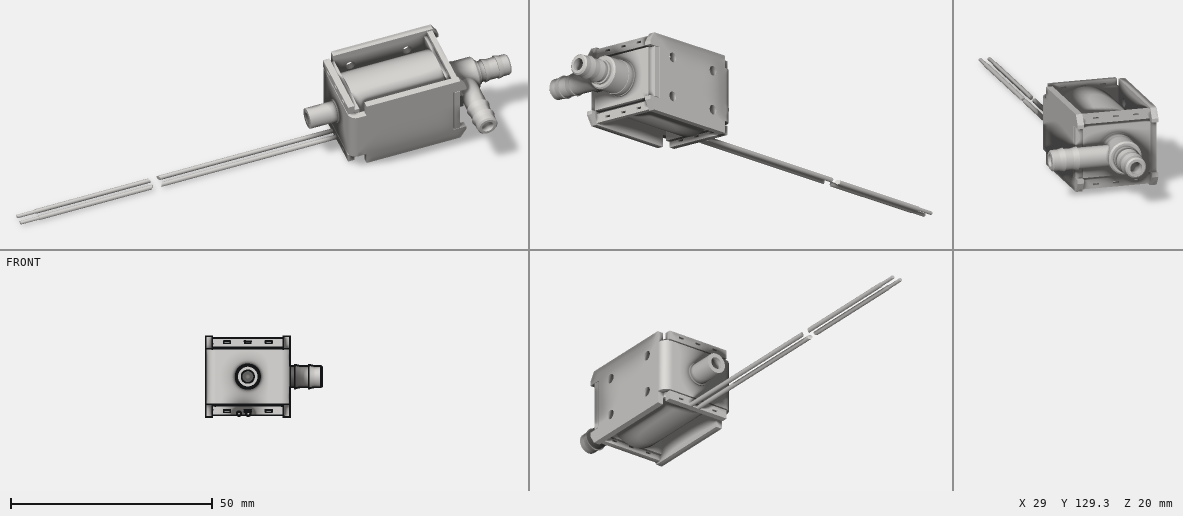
import cadquery as cq


frame_width = 21.0
frame_height = 20.0
sheet = 1.7
left_bend_radius = 2.5
right_bend_radius = 2.1
front_band_height = 13.7
wall_rear = 30.7
left_wall_front = 2.7
right_wall_front = 4.3
wall_corner_y = 1.5
wall_corner_z = 2.5
notch_height = 13.2
notch_front = 27.3
mount_hole_diameter = 2.5
mount_hole_z = 5.0
mount_hole_ys = (7.2, 22.2)
inner_width = frame_width - 2 * sheet

flange_height = 16.3
front_flange_back = 3.0
rear_flange_front = 26.8
rear_flange_back = 27.5
rail_rear = 29.0
rail_top = 9.6
rail_gap = 0.4
rail_bottom = front_band_height / 2 + rail_gap
core_diameter = 7.8
slot_width = 1.5
slot_height = 0.5
slot_pitch = 5.2
slot_z = 8.5

rear_plate_height = 12.9

tube_diameter = 5.3
tube_bore = 3.1
tube_length = 7.5
collar_diameter = 6.1
collar_thickness = 0.4

base_thickness = 0.6
fitting_base = rail_rear + base_thickness
foot_diameter = 9.3
foot_thickness = 0.4
hub_diameter = 8.5
hub_collar_diameter = 8.8
hub_collar_rear = 31.7
hub_rear = 37.0
hub_chamfer = 0.4
neck_diameter = 6.2
neck_length = 0.6
straight_tip = 45.8
side_tip = 18.5
side_nipple_y = 33.4
lug_reach = 7.9
lug_thickness = 1.3
lug_height = 3.9
nipple_radius = 2.65
nipple_bore = 3.1
tip_chamfer = 0.4
barb_height = 0.32
barb_ramp = 1.4
barb_pitch = 3.5
first_barb = 3.4

wire_diameter = 1.2
conductor_diameter = 0.9
wire_xs = (-2.2, 0.1)
wire_z = -9.2
upper_wire_end = -46.0
lower_wire_start = -48.6
insulation_end = -78.6
overall_length = 129.3
conductor_end = straight_tip - overall_length
break_slant = 0.32


def box(x0, x1, y0, y1, z0, z1):
    """Block between two opposite corners."""
    return cq.Workplane("XY").box(x1 - x0, y1 - y0, z1 - z0, centered=False).translate((x0, y0, z0))


def centred_block(width, height, y0, y1):
    """Block centred on the coil axis between two Y positions."""
    return box(-width / 2, width / 2, y0, y1, -height / 2, height / 2)


def rod(diameter, y0, y1, x=0, z=0):
    """Cylinder along Y."""
    return cq.Workplane("XZ", origin=(x, y0, z)).circle(diameter / 2).extrude(y0 - y1)


def round_front_corners(block, left_radius, right_radius):
    """Round the two upright front edges of a block."""
    block = block.edges("|Z and <Y").edges("<X").fillet(left_radius)
    return block.edges("|Z and >X").edges("<Y").fillet(right_radius)


def side_wall_outline(front):
    """Wall outline in Y and Z, with cut rear corners and a rear notch."""
    top = frame_height / 2
    notch = notch_height / 2
    return [
        (front, -top), (wall_rear - wall_corner_y, -top), (wall_rear, -top + wall_corner_z),
        (wall_rear, -notch), (notch_front, -notch), (notch_front, notch), (wall_rear, notch),
        (wall_rear, top - wall_corner_z), (wall_rear - wall_corner_y, top), (front, top),
    ]


def make_side_wall(x0, front):
    return cq.Workplane("YZ", origin=(x0, 0, 0)).polyline(side_wall_outline(front)).close().extrude(sheet)


def make_frame():
    band = centred_block(frame_width, front_band_height, 0, right_wall_front)
    hollow = centred_block(inner_width, frame_height, sheet, right_wall_front)
    band = round_front_corners(band, left_bend_radius, right_bend_radius)
    band = band.cut(round_front_corners(hollow, left_bend_radius - sheet, right_bend_radius - sheet))
    frame = band.union(make_side_wall(-frame_width / 2, left_wall_front))
    frame = frame.union(make_side_wall(inner_width / 2, right_wall_front))
    for y in mount_hole_ys:
        for z in (-mount_hole_z, mount_hole_z):
            hole = cq.Workplane("YZ", origin=(-frame_width / 2, y, z)).circle(mount_hole_diameter / 2)
            frame = frame.cut(hole.extrude(sheet))
    return frame.cut(rod(tube_diameter, 0, sheet))


def make_rail(y0, y1, side):
    """Slotted rail above (side = 1) or below (side = -1) the frame plates."""
    middle = side * (rail_top + rail_bottom) / 2
    rail = centred_block(inner_width, rail_top - rail_bottom, y0, y1).translate((0, 0, middle))
    for step in (-1, 0, 1):
        slot = centred_block(slot_width, slot_height, y0, y1)
        rail = rail.cut(slot.translate((step * slot_pitch, 0, side * slot_z)))
    return rail


def make_bobbin():
    front_flange = centred_block(inner_width, flange_height, sheet, front_flange_back)
    front_flange = round_front_corners(front_flange, left_bend_radius - sheet, right_bend_radius - sheet)
    bobbin = front_flange.union(rod(core_diameter, front_flange_back, rear_flange_front))
    bobbin = bobbin.union(centred_block(inner_width, flange_height, rear_flange_front, rear_flange_back))
    for side in (-1, 1):
        bobbin = bobbin.union(make_rail(0, sheet, side))
        bobbin = bobbin.union(make_rail(rear_flange_back, rail_rear, side))
    return bobbin


def make_coil():
    coil = rod(inner_width, front_flange_back, rear_flange_front)
    return coil.cut(rod(core_diameter, front_flange_back, rear_flange_front))


def make_rear_plate():
    return centred_block(frame_width, rear_plate_height, rear_flange_back, rail_rear)


def make_guide_tube():
    tube = rod(tube_diameter, -tube_length, sheet)
    tube = tube.union(rod(collar_diameter, -collar_thickness, 0))
    return tube.cut(rod(tube_bore, -tube_length, 0))


def make_nipple(length):
    """Barbed nipple along Y with its tip at the origin, reaching back to Y = -length."""
    profile = [(0, 0), (nipple_radius - tip_chamfer, 0), (nipple_radius, -tip_chamfer)]
    for crest in (first_barb, first_barb + barb_pitch):
        profile += [
            (nipple_radius, barb_ramp - crest),
            (nipple_radius + barb_height, -crest),
            (nipple_radius, -crest),
        ]
    profile += [(nipple_radius, -length), (0, -length)]
    return cq.Workplane("XY").polyline(profile).close().revolve(360, (0, 0), (0, 1))


def make_fitting():
    fitting = centred_block(inner_width, rear_plate_height, rail_rear, fitting_base)
    fitting = fitting.union(rod(foot_diameter, fitting_base, fitting_base + foot_thickness))
    fitting = fitting.union(rod(hub_collar_diameter, fitting_base, hub_collar_rear))
    fitting = fitting.union(rod(hub_diameter, fitting_base, hub_rear).faces(">Y").chamfer(hub_chamfer))
    fitting = fitting.union(rod(neck_diameter, hub_rear, hub_rear + neck_length))
    lug = box(0, lug_reach, fitting_base, fitting_base + lug_thickness, -lug_height / 2, lug_height / 2)
    fitting = fitting.union(lug)

    straight = make_nipple(straight_tip - hub_rear).translate((0, straight_tip, 0))
    side = make_nipple(side_tip).rotate((0, 0, 0), (0, 0, 1), -90).translate((side_tip, side_nipple_y, 0))
    fitting = fitting.union(straight).union(side)

    straight_bore = rod(nipple_bore, side_nipple_y, straight_tip)
    side_bore = cq.Workplane("YZ", origin=(0, side_nipple_y, 0)).circle(nipple_bore / 2).extrude(side_tip)
    return fitting.cut(straight_bore).cut(side_bore)


def make_slanted_wire(x, y_square, y_slanted, slant):
    """Insulated wire with a square end and an oblique end that rises by 2 * slant from -X to +X."""
    radius = wire_diameter / 2
    outline = [
        (x - radius, y_square), (x + radius, y_square),
        (x + radius, y_slanted + slant), (x - radius, y_slanted - slant),
    ]
    bottom = cq.Workplane("XY", origin=(0, 0, wire_z - radius))
    prism = bottom.polyline(outline).close().extrude(wire_diameter)
    y_low = min(y_square, y_slanted - abs(slant))
    y_high = max(y_square, y_slanted + abs(slant))
    return rod(wire_diameter, y_low, y_high, x, wire_z).intersect(prism)


def make_upper_wire(x, slant):
    return make_slanted_wire(x, 0, upper_wire_end, slant)


def make_lower_wire(x, slant):
    wire = make_slanted_wire(x, insulation_end, lower_wire_start, slant)
    return wire.union(rod(conductor_diameter, conductor_end, insulation_end, x, wire_z))


frame = make_frame()
bobbin = make_bobbin()
coil = make_coil()
rear_plate = make_rear_plate()
guide_tube = make_guide_tube()
fitting = make_fitting()

wires = []
for wire_x, wire_slant in zip(wire_xs, (break_slant, -break_slant)):
    wires.append(make_upper_wire(wire_x, wire_slant).val())
    wires.append(make_lower_wire(wire_x, wire_slant).val())

bodies = [frame, bobbin, coil, rear_plate, guide_tube, fitting]
result = cq.Compound.makeCompound([body.val() for body in bodies] + wires)